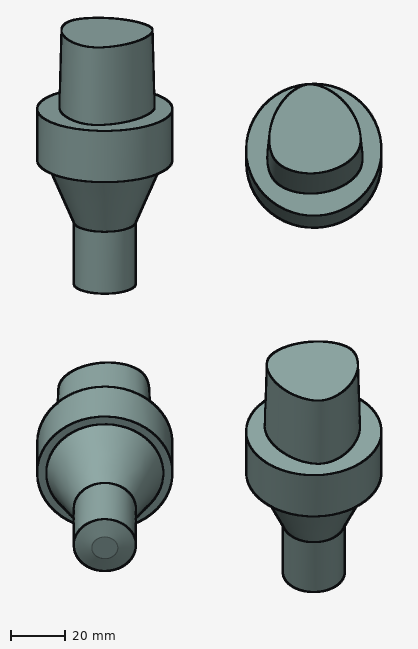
import cadquery as cq
import math

TOTAL_HEIGHT = 100.0
TAPER_HEIGHT = 30.0
COLLAR_HEIGHT = 20.0
CONE_HEIGHT = 24.0
TIP_HEIGHT = 1.8

COLLAR_DIAMETER = 50.0
CONE_TOP_DIAMETER = 43.2
SHANK_DIAMETER = 23.0
TIP_DIAMETER = 9.6

LOBE_BASE_WIDTH = 35.2
TAPER_RATIO = 0.05
LOBE_HEIGHT = 1.05
LOBE_COUNT = 3
POINTS_PER_LOBE = 16

collar_top = TOTAL_HEIGHT - TAPER_HEIGHT
collar_bottom = collar_top - COLLAR_HEIGHT
shank_top = collar_bottom - CONE_HEIGHT


def make_round_body():
    """Revolve the tip, shank, cone and collar about the Z axis."""
    return (
        cq.Workplane("XZ")
        .lineTo(TIP_DIAMETER / 2, 0)
        .lineTo(SHANK_DIAMETER / 2, TIP_HEIGHT)
        .lineTo(SHANK_DIAMETER / 2, shank_top)
        .lineTo(CONE_TOP_DIAMETER / 2, collar_bottom)
        .lineTo(COLLAR_DIAMETER / 2, collar_bottom)
        .lineTo(COLLAR_DIAMETER / 2, collar_top)
        .lineTo(0, collar_top)
        .close()
        .revolve(360, (0, 0), (0, 1))
    )


def lobed_outline(width):
    """Points of a constant-width lobed curve with one lobe towards -Y."""
    points = []
    point_count = LOBE_COUNT * POINTS_PER_LOBE
    for index in range(point_count):
        angle = 2 * math.pi * index / point_count
        phase = LOBE_COUNT * (angle + math.pi / 2)
        reach = width / 2 + LOBE_HEIGHT * math.cos(phase)
        slope = -LOBE_COUNT * LOBE_HEIGHT * math.sin(phase)
        x = reach * math.cos(angle) - slope * math.sin(angle)
        y = reach * math.sin(angle) + slope * math.cos(angle)
        points.append((x, y))
    return points


def make_coupling():
    """Loft the lobed outline upwards to its narrower top."""
    top_width = LOBE_BASE_WIDTH - TAPER_RATIO * TAPER_HEIGHT
    return (
        cq.Workplane("XY", origin=(0, 0, collar_top))
        .spline(lobed_outline(LOBE_BASE_WIDTH), periodic=True)
        .wire()
        .workplane(offset=TAPER_HEIGHT)
        .spline(lobed_outline(top_width), periodic=True)
        .wire()
        .loft(ruled=True)
    )


result = make_round_body().union(make_coupling())